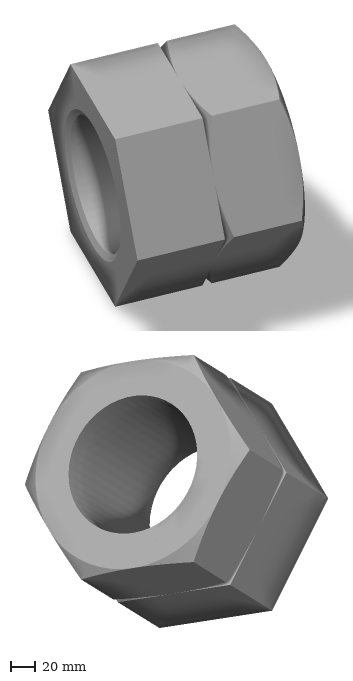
import cadquery as cq
import math

across_corners = 207.8
total_length = 153.4
nut_length = 76.0
across_flats = across_corners * math.cos(math.radians(30))

bore_diameter = 118.9
bore_mouth_diameter = 130.0
shank_diameter = 145.5

chamfer_slope = math.tan(math.radians(30))
mouth_depth = (bore_mouth_diameter - bore_diameter) / 2 * chamfer_slope
corner_depth = (across_corners - across_flats) / 2 * chamfer_slope

front_y = -total_length / 2
back_y = total_length / 2
joint_y = back_y - nut_length


def revolve_about_y(profile):
    """Turn a closed (radius, y) profile into a solid around the Y axis."""
    return cq.Workplane("XY").polyline(profile).close().revolve(360, (0, 0, 0), (0, 1, 0))


def hexagon_prism(start_y, end_y):
    """Hexagonal bar along Y with two corners in the XY plane."""
    return (
        cq.Workplane("XZ", origin=(0, end_y, 0))
        .polygon(6, across_corners)
        .extrude(end_y - start_y)
    )


def cylinder(diameter, start_y, end_y):
    """Round bar along Y."""
    return (
        cq.Workplane("XZ", origin=(0, end_y, 0))
        .circle(diameter / 2)
        .extrude(end_y - start_y)
    )


def bore_mouth():
    """Conical lead-in that widens the bore at the front face."""
    inner_y = front_y + mouth_depth
    return revolve_about_y([
        (0, front_y),
        (bore_mouth_diameter / 2, front_y),
        (bore_diameter / 2, inner_y),
        (0, inner_y),
    ])


def corner_chamfer_envelope(start_y, end_y):
    """Disc with a cone at each end that cuts the hexagon corners back to the flats."""
    flat_radius = across_flats / 2
    corner_radius = across_corners / 2
    return revolve_about_y([
        (0, start_y),
        (flat_radius, start_y),
        (corner_radius, start_y + corner_depth),
        (corner_radius, end_y - corner_depth),
        (flat_radius, end_y),
        (0, end_y),
    ])


def make_sleeve():
    """Square-edged hexagon head with a round shank behind it and one bore through both."""
    head = hexagon_prism(front_y, joint_y)
    shank = cylinder(shank_diameter, joint_y, back_y)
    bore = cylinder(bore_diameter, front_y, back_y)
    return head.union(shank).cut(bore).cut(bore_mouth())


def make_nut():
    """Hexagon nut on the shank, with its corners chamfered at both ends."""
    blank = hexagon_prism(joint_y, back_y).intersect(corner_chamfer_envelope(joint_y, back_y))
    return blank.cut(cylinder(shank_diameter, joint_y, back_y))


sleeve = make_sleeve().solids().val()
nut = make_nut().solids().val()

result = cq.Compound.makeCompound([sleeve, nut])